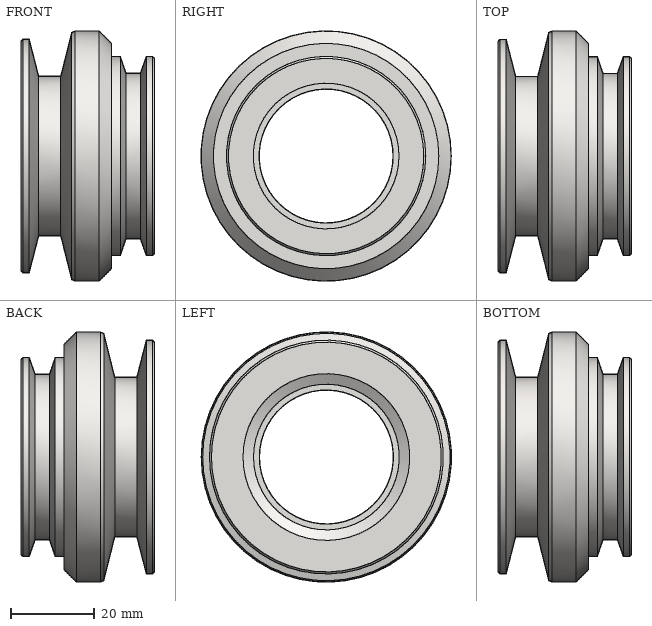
import cadquery as cq

length = 32.05

bore_mouth_radius = 20.0
bore_radius = 17.45
bore_cone_depth = 1.45
bore_depth = 14.7
lip_radius = 16.0
lip_width = 5.5
lip_end = bore_depth + lip_width

large_flange_radius = 28.0
large_flange_end = 2.0
flange_chamfer = 0.5

wide_groove_radius = 19.15
wide_floor_start = 4.25
wide_floor_end = 9.55

rim_radius = 30.0
rim_start = 12.2
rim_bevel_length = 0.85
rim_bevel_height = 0.35
rim_chamfer_start = 18.7
rim_chamfer = 3.0
rim_end = rim_chamfer_start + rim_chamfer

small_flange_radius = 23.9
narrow_groove_radius = 19.85
narrow_groove_start = 23.8
narrow_floor_start = 25.2
narrow_floor_end = 28.6
small_flange_start = 30.05

outer_profile = [
    (0, large_flange_radius - flange_chamfer),
    (flange_chamfer, large_flange_radius),
    (large_flange_end, large_flange_radius),
    (wide_floor_start, wide_groove_radius),
    (wide_floor_end, wide_groove_radius),
    (rim_start, rim_radius - rim_bevel_height),
    (rim_start + rim_bevel_length, rim_radius),
    (rim_chamfer_start, rim_radius),
    (rim_end, rim_radius - rim_chamfer),
    (rim_end, small_flange_radius),
    (narrow_groove_start, small_flange_radius),
    (narrow_floor_start, narrow_groove_radius),
    (narrow_floor_end, narrow_groove_radius),
    (small_flange_start, small_flange_radius),
    (length - flange_chamfer, small_flange_radius),
    (length, small_flange_radius - flange_chamfer),
]

bore_profile = [
    (length, bore_radius),
    (lip_end, bore_radius),
    (lip_end, lip_radius),
    (bore_depth, lip_radius),
    (bore_depth, bore_radius),
    (bore_cone_depth, bore_radius),
    (0, bore_mouth_radius),
]

result = (
    cq.Workplane("XY")
    .polyline(outer_profile + bore_profile)
    .close()
    .revolve(360, (0, 0, 0), (1, 0, 0))
)